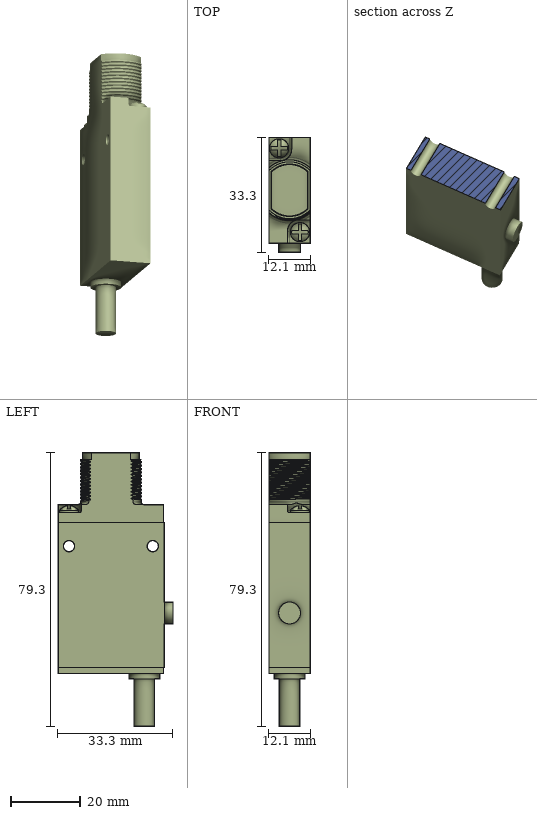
import cadquery as cq
import math


gland_bottom = 13.7
cover_bottom = 15.2
housing_bottom = 17.0
housing_top = 59.1
recess_floor = 61.85
shoulder = 64.2
thread_bottom = 65.35
thread_top = 77.2
barrel_top = 79.3

width = 12.05
end_length = 30.6
housing_overhang = 0.15

band_radius = 8.25
root_radius = 8.4
crest_radius = 8.8
foot_fillet = 0.7
thread_turns = 12
groove_mouth = 0.7
groove_root = 0.1
lens_wall = 0.6
lens_draft = 0.15
lens_depth = 0.8

recess_side = 0.6
recess_end = 8.6
recess_corner = 3.3
recess_fillet = 0.6

screw_x = 3.0
screw_y = 12.1
screw_radius = 2.8
screw_rim = 0.7
screw_height = 2.1
slot_width = 0.95
slot_floor = 1.1

hole_diameter = 3.2
hole_spacing = 24.3
hole_z = 52.2
button_diameter = 6.35
button_tip_y = -18.0
button_z = 32.8
cable_y = -9.7
gland_diameter = 9.0
cable_diameter = 6.0

front_y = -end_length / 2 - housing_overhang
back_y = end_length / 2


def block(y_min, y_max, z_min, z_max):
    """Full-width block between the given Y and Z limits."""
    return (
        cq.Workplane("XY")
        .box(width, y_max - y_min, z_max - z_min, centered=(True, False, False))
        .translate((0, y_min, z_min))
    )


def post(x, y, z_min, z_max, diameter):
    """Upright cylinder."""
    return cq.Workplane("XY", origin=(x, y, z_min)).circle(diameter / 2).extrude(z_max - z_min)


def make_housing():
    """Main box with two mounting holes through its width."""
    hole_points = [(-hole_spacing / 2, hole_z), (hole_spacing / 2, hole_z)]
    holes = (
        cq.Workplane("YZ", origin=(-width, 0, 0))
        .pushPoints(hole_points)
        .circle(hole_diameter / 2)
        .extrude(2 * width)
    )
    return block(front_y, back_y, housing_bottom, housing_top).cut(holes)


def make_thread_grooves():
    """Right-handed V groove in half turns, each starting and ending outside the flats of the barrel."""
    pitch = (thread_top - thread_bottom) / thread_turns
    overlap = 0.15
    root_half = groove_root / 2
    mouth_half = groove_mouth / 2
    outer_half = mouth_half + overlap * (mouth_half - root_half) / (crest_radius - root_radius)
    outer_radius = crest_radius + overlap
    path = cq.Workplane(cq.Wire.makeHelix(pitch, pitch / 2, root_radius))
    half_turn = (
        cq.Workplane("XZ")
        .moveTo(root_radius, -root_half)
        .lineTo(outer_radius, -outer_half)
        .lineTo(outer_radius, outer_half)
        .lineTo(root_radius, root_half)
        .close()
        .sweep(path, isFrenet=True)
    )
    return [
        half_turn.rotate((0, 0, 0), (0, 0, 1), 180 * index)
        .translate((0, 0, thread_bottom + index * pitch / 2))
        for index in range(2 * thread_turns)
    ]


def make_barrel():
    """Threaded barrel with a filleted foot, flattened on both X sides."""
    foot_radius = crest_radius + foot_fillet
    arc_inset = foot_fillet * (1 - math.sqrt(0.5))
    barrel = (
        cq.Workplane("XZ")
        .moveTo(0, housing_top)
        .lineTo(foot_radius, housing_top)
        .lineTo(foot_radius, shoulder)
        .threePointArc(
            (crest_radius + arc_inset, shoulder + arc_inset),
            (crest_radius, shoulder + foot_fillet),
        )
        .lineTo(crest_radius, thread_top)
        .lineTo(band_radius, thread_top)
        .lineTo(band_radius, barrel_top)
        .lineTo(0, barrel_top)
        .close()
        .revolve(360, (0, 0, 0), (0, 1, 0))
    )
    barrel = barrel.intersect(block(-foot_radius, foot_radius, housing_top, barrel_top))
    for groove in make_thread_grooves():
        barrel = barrel.cut(groove)
    return barrel


def make_lens_pocket():
    """Shallow tapered pocket that leaves an even wall around the barrel tip."""
    radius = band_radius - lens_wall
    half_width = width / 2 - lens_wall
    corner_y = math.sqrt(radius**2 - half_width**2)
    return (
        cq.Workplane("XY", origin=(0, 0, barrel_top))
        .moveTo(half_width, -corner_y)
        .lineTo(half_width, corner_y)
        .threePointArc((0, radius), (-half_width, corner_y))
        .lineTo(-half_width, -corner_y)
        .threePointArc((0, -radius), (half_width, -corner_y))
        .close()
        .extrude(-lens_depth, taper=math.degrees(math.atan2(lens_draft, lens_depth)))
    )


def make_recess():
    """Corner recess at -X, +Y with a rounded inner corner and a filleted floor."""
    margin = 4.0
    size_x = recess_side + width / 2 + margin
    size_y = back_y - recess_end + margin
    return (
        cq.Workplane("XY")
        .box(size_x, size_y, shoulder + margin - recess_floor, centered=False)
        .translate((recess_side - size_x, recess_end, recess_floor))
        .edges("|Z and >X and <Y")
        .fillet(recess_corner)
        .faces("<Z")
        .edges()
        .fillet(recess_fillet)
    )


def opposite(body):
    """Copy turned half a turn about the barrel axis."""
    return body.rotate((0, 0, 0), (0, 0, 1), 180)


def make_head():
    """Block with the threaded barrel, lens pocket and two screw recesses."""
    recess = make_recess()
    base = block(-back_y, back_y, housing_top, shoulder)
    head = base.union(make_barrel()).cut(make_lens_pocket())
    return head.cut(recess).cut(opposite(recess))


def make_screw():
    """Domed cross-slot screw head seated in the -X, +Y recess."""
    rise = screw_height - screw_rim
    dome_radius = (screw_radius**2 + rise**2) / (2 * rise)
    mid_angle = math.asin(screw_radius / dome_radius) / 2
    mid_x = dome_radius * math.sin(mid_angle)
    mid_z = screw_height - dome_radius * (1 - math.cos(mid_angle))
    screw = (
        cq.Workplane("XZ")
        .lineTo(screw_radius, 0)
        .lineTo(screw_radius, screw_rim)
        .threePointArc((mid_x, mid_z), (0, screw_height))
        .close()
        .revolve(360, (0, 0, 0), (0, 1, 0))
    )
    slot = cq.Workplane("XY", origin=(0, 0, slot_floor)).rect(2 * screw_radius, slot_width).extrude(screw_height)
    cross = slot.union(slot.rotate((0, 0, 0), (0, 0, 1), 90))
    return screw.cut(cross).translate((-screw_x, screw_y, recess_floor))


def make_button():
    """Round button standing out of the -Y face of the housing."""
    return (
        cq.Workplane("XZ", origin=(0, front_y, button_z))
        .circle(button_diameter / 2)
        .extrude(front_y - button_tip_y)
    )


housing = make_housing()
head = make_head()
cover = block(-back_y, back_y, cover_bottom, housing_bottom)
button = make_button()
gland = post(0, cable_y, gland_bottom, cover_bottom, gland_diameter)
cable = post(0, cable_y, 0, gland_bottom, cable_diameter)
screws = [make_screw(), opposite(make_screw())]

bodies = [housing, head, cover, button, gland, cable, *screws]
result = cq.Compound.makeCompound([body.solids().val() for body in bodies])